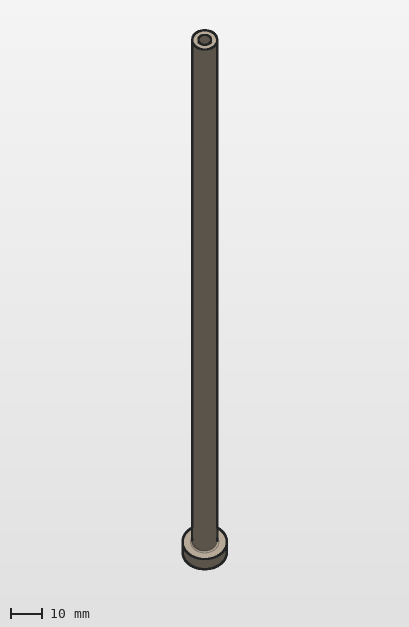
import cadquery as cq

total_length = 255.0
head_diameter = 14.0
head_thickness = 5.0
shaft_diameter = 8.0
bore_diameter = 4.0
neck_fillet = 0.5

head = cq.Workplane("XY").circle(head_diameter / 2).extrude(head_thickness)
shaft = cq.Workplane("XY").circle(shaft_diameter / 2).extrude(total_length)
bore = cq.Workplane("XY").circle(bore_diameter / 2).extrude(total_length)

neck_corner = cq.selectors.BoxSelector(
    (-shaft_diameter, -shaft_diameter, head_thickness - neck_fillet),
    (shaft_diameter, shaft_diameter, head_thickness + neck_fillet),
)
pin = head.union(shaft)
pin = pin.edges(neck_corner).edges("%CIRCLE").edges(cq.selectors.RadiusNthSelector(0)).fillet(neck_fillet)

result = pin.cut(bore)